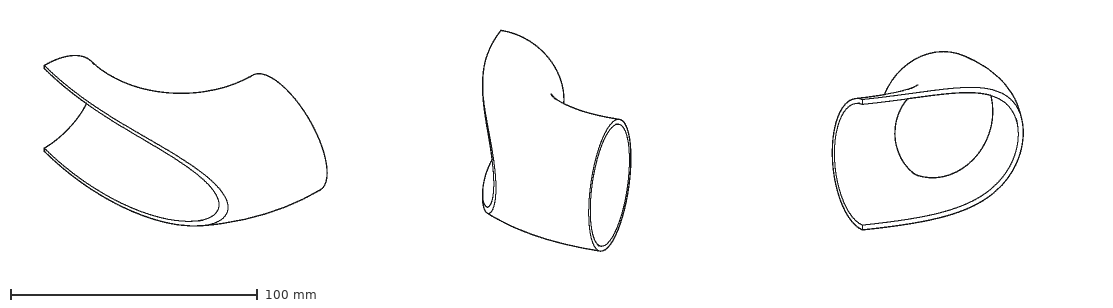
import cadquery as cq

overall_reach = 97.0
pipe_diameter = 54.0
wall_thickness = 2.0

pipe_radius = pipe_diameter / 2
bore_radius = pipe_radius - wall_thickness
bend_radius = overall_reach - pipe_radius
bend_angle = 90


def elbow():
    """Quarter-turn pipe bend about the Z axis, from the -Y side round to the +X side."""
    return (
        cq.Workplane("XZ")
        .center(bend_radius, 0)
        .circle(pipe_radius)
        .circle(bore_radius)
        .revolve(bend_angle, (-bend_radius, 0), (-bend_radius, -1))
    )


def saddle_cutter():
    """Solid below the parabola y = x^2 / (4 * bend_radius) - bend_radius.

    A straight pipe of the same diameter, running along X through the elbow's open end,
    meets the elbow on this surface.
    """
    parabola_end_x = 2 * bend_radius
    cutter_bottom_y = -2 * bend_radius
    return (
        cq.Workplane("XY")
        .moveTo(0, -bend_radius)
        .bezier([(0, -bend_radius), (parabola_end_x / 2, -bend_radius), (parabola_end_x, 0)])
        .lineTo(parabola_end_x, cutter_bottom_y)
        .lineTo(0, cutter_bottom_y)
        .close()
        .extrude(pipe_diameter, both=True)
    )


result = elbow().cut(saddle_cutter())